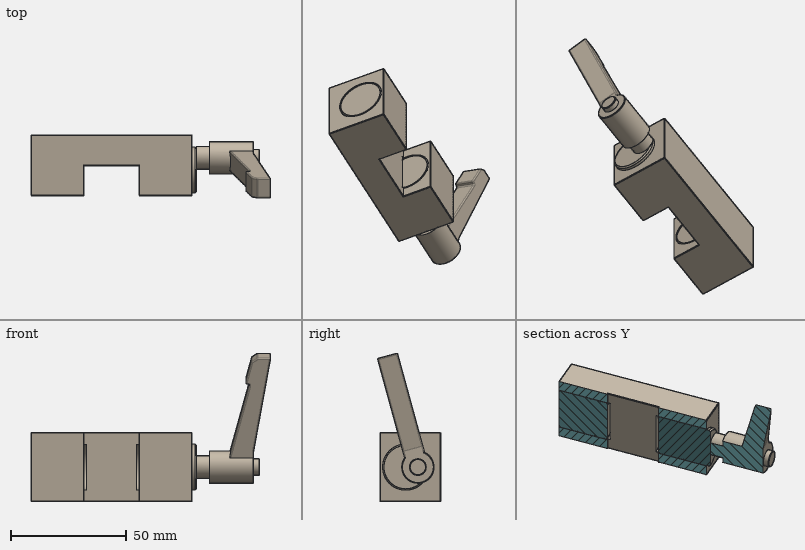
import cadquery as cq
import math


jaw_length = 23.0
slot_width = 23.8
slot_depth = 13.1
block_length = 2 * jaw_length + slot_width
block_width = 26.5
block_height = 30.0
block_front = -11.2
block_edge = 0.3

plug_diameter = 20.0
plug_chamfer = 0.6
bore_overrun = 1.0
plug_protrusion = 1.8

lever_axis_y = 5.3
spindle_diameter = 10.0
spindle_length = 5.7
hub_diameter = 14.0
hub_length = 19.2
hub_chamfer = 0.3
stud_diameter = 7.3
stud_length = 2.5
stud_chamfer = 0.3

overall_length = 103.8
arm_tilt = 15.3
arm_width = 9.0
arm_reach = 50.0
arm_front_lean = 15.0
arm_back_lean = 10.0
arm_root_x = 84.6
grip_start = 38.1
grip_step = 1.9
tip_bevel_length = 2.5
tip_bevel_drop = 1.7
arm_edge_radius = 0.5

spindle_start = block_length + plug_protrusion
hub_start = spindle_start + spindle_length
hub_end = hub_start + hub_length


def x_cylinder(diameter, start, length, y=0.0):
    """Cylinder along +X that begins at x = start."""
    return cq.Workplane("YZ", origin=(start, y, 0)).circle(diameter / 2).extrude(length)


def make_block():
    """Square bar with a slot across its front, chamfered outside, with a bore in each jaw."""
    slot_end = jaw_length + slot_width
    slot_floor = block_front + slot_depth
    block_back = block_front + block_width
    outline = [
        (0, block_front),
        (jaw_length, block_front),
        (jaw_length, slot_floor),
        (slot_end, slot_floor),
        (slot_end, block_front),
        (block_length, block_front),
        (block_length, block_back),
        (0, block_back),
    ]
    body = cq.Workplane("XY").polyline(outline).close().extrude(block_height / 2, both=True)
    upright_outer_edges = body.edges("|Z").filter(
        lambda edge: abs(edge.Center().y - slot_floor) > block_edge
    )
    end_face_edges = body.faces("<Z or >Z").edges()
    body = end_face_edges.add(upright_outer_edges).chamfer(block_edge)
    bore_depth = jaw_length + bore_overrun
    for start in (0, block_length - bore_depth):
        body = body.cut(x_cylinder(plug_diameter, start, bore_depth))
    return body


def make_plug(start, end):
    """Round plug along the bore axis, chamfered at both ends."""
    return x_cylinder(plug_diameter, start, end - start).faces("<X or >X").chamfer(plug_chamfer)


def make_arm():
    """Bar with a stepped grip, modelled upright from the lever axis and then tilted about it."""
    front_lean = math.radians(arm_front_lean)
    front_slope = math.tan(front_lean)
    half_tip_angle = math.radians(90 - arm_back_lean) / 2
    back_tip_x = overall_length + arm_edge_radius * (1 / math.tan(half_tip_angle) - 1)
    back_meets_hub = arm_reach - (back_tip_x - hub_end) / math.tan(math.radians(arm_back_lean))
    step_x = arm_root_x + grip_start * front_slope
    grip_x = step_x - grip_step * math.cos(front_lean)
    grip_z = grip_start + grip_step * math.sin(front_lean)
    bevel_z = arm_reach - tip_bevel_drop
    bevel_x = grip_x + (bevel_z - grip_z) * front_slope
    rounded_corners = [
        (back_tip_x, arm_reach),
        (bevel_x + tip_bevel_length, arm_reach),
        (bevel_x, bevel_z),
        (grip_x, grip_z),
        (step_x, grip_start),
    ]
    outline = [(arm_root_x, 0), (hub_end, 0), (hub_end, back_meets_hub)] + rounded_corners
    arm = cq.Workplane("XZ").polyline(outline).close().extrude(arm_width / 2, both=True)
    for x, z in rounded_corners:
        corner_edge = cq.selectors.NearestToPointSelector((x, 0, z))
        arm = arm.edges("|Y").edges(corner_edge).fillet(arm_edge_radius)
    arm = arm.faces("<Y or >Y").edges().fillet(arm_edge_radius)
    return arm.rotate((0, 0, 0), (1, 0, 0), arm_tilt).translate((0, lever_axis_y, 0))


def make_clamping_lever():
    """Lever arm, hub, spindle and end stud as one piece."""
    spindle = x_cylinder(spindle_diameter, spindle_start, spindle_length, lever_axis_y)
    hub = x_cylinder(hub_diameter, hub_start, hub_length, lever_axis_y)
    hub = hub.faces(">X").chamfer(hub_chamfer)
    stud = x_cylinder(stud_diameter, hub_end, stud_length, lever_axis_y)
    stud = stud.faces(">X").chamfer(stud_chamfer)
    return hub.union(spindle).union(stud).union(make_arm())


block = make_block()
fixed_plug = make_plug(0, jaw_length)
clamp_plug = make_plug(jaw_length + slot_width, spindle_start)
clamping_lever = make_clamping_lever()

result = cq.Compound.makeCompound(
    [block.val(), fixed_plug.val(), clamp_plug.val(), clamping_lever.val()]
)